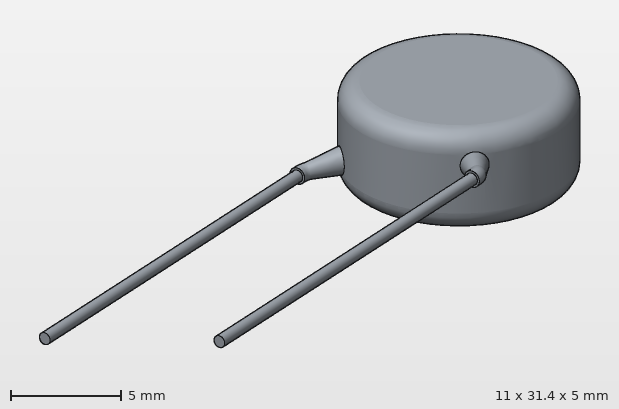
import cadquery as cq
import math

total_length = 31.35

disc_diameter = 11.0
disc_thickness = 5.0
rim_radius = 1.0

wire_diameter = 0.6
wire_offset_x = 4.83
wire_offset_z = 1.32
bend_radius = 0.63

sleeve_diameter = 0.8
collar_end_y = -5.85
collar_length = 0.22
cone_base_diameter = 1.47
cone_length = 2.05
cone_azimuth = 50.5
cone_slope = 11.0

disc_radius = disc_diameter / 2
wire_end_y = disc_radius - total_length

wire_sides = [(-1, -1), (1, 1)]


def cone_direction(side_x, side_z):
    """Unit vector from the bend into the disc."""
    level = math.cos(math.radians(cone_slope))
    return cq.Vector(
        -side_x * level * math.cos(math.radians(cone_azimuth)),
        level * math.sin(math.radians(cone_azimuth)),
        -side_z * math.sin(math.radians(cone_slope)),
    )


def bend_points(side_x, side_z):
    """Start, middle and end of the bend arc, going from the straight wire to the cone."""
    straight = cq.Vector(0, 1, 0)
    slanted = cone_direction(side_x, side_z)
    start = cq.Vector(side_x * wire_offset_x, collar_end_y + collar_length, side_z * wire_offset_z)
    bend_angle = straight.getAngle(slanted)
    tangent_length = bend_radius * math.tan(bend_angle / 2)
    corner = start + straight * tangent_length
    end = corner + slanted * tangent_length
    to_centre = (slanted - straight).normalized()
    corner_to_arc = bend_radius / math.cos(bend_angle / 2) - bend_radius
    return start, corner + to_centre * corner_to_arc, end


def swept_rod(diameter, straight_end_y, side_x, side_z, slanted_length):
    """Round rod along -Y, through the bend and on along the cone axis."""
    start, middle, end = bend_points(side_x, side_z)
    tail = cq.Vector(start.x, straight_end_y, start.z)
    edges = [cq.Edge.makeLine(tail, start), cq.Edge.makeThreePointArc(start, middle, end)]
    if slanted_length > 0:
        edges.append(cq.Edge.makeLine(end, end + cone_direction(side_x, side_z) * slanted_length))
    path = cq.Workplane(obj=cq.Wire.assembleEdges(edges))
    profile_plane = cq.Plane(origin=tail, xDir=(1, 0, 0), normal=(0, 1, 0))
    return cq.Workplane(profile_plane).circle(diameter / 2).sweep(path)


def make_wire(side_x, side_z):
    return swept_rod(wire_diameter, wire_end_y, side_x, side_z, cone_length)


def make_sleeve(side_x, side_z):
    elbow = swept_rod(sleeve_diameter, collar_end_y, side_x, side_z, 0)
    cone = cq.Solid.makeCone(
        sleeve_diameter / 2,
        cone_base_diameter / 2,
        cone_length,
        pnt=bend_points(side_x, side_z)[2],
        dir=cone_direction(side_x, side_z),
    )
    return elbow.union(cq.Workplane(obj=cone))


def make_coating(wires):
    """Rounded disc with its two sleeves, bored to fit the wires."""
    disc = cq.Workplane("XY").cylinder(disc_thickness, disc_radius)
    coating = disc.faces("|Z").edges().fillet(rim_radius)
    for side_x, side_z in wire_sides:
        coating = coating.union(make_sleeve(side_x, side_z))
    for wire in wires:
        coating = coating.cut(wire)
    return coating


wires = [make_wire(side_x, side_z) for side_x, side_z in wire_sides]
coating = make_coating(wires)

result = cq.Compound.makeCompound([coating.val(), *[wire.val() for wire in wires]])